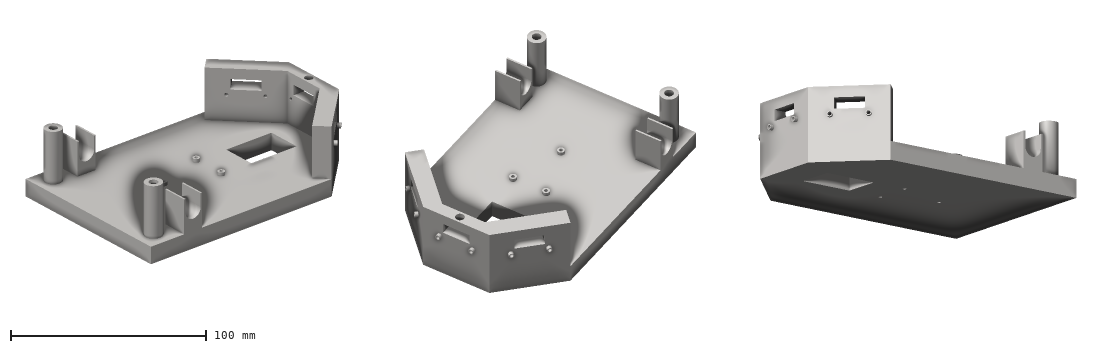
import cadquery as cq
import math

plate_width = 100.0
plate_length = 150.0
plate_thickness = 10.0
corner_cut = 30.0
half_width = plate_width / 2
side_end_y = plate_length - corner_cut
back_half_width = half_width - corner_cut

total_height = 40.0
wall_height = total_height - plate_thickness
slanted_wall_thickness = 10.0
wall_step = slanted_wall_thickness / math.sqrt(2)

window_width = 16.0
window_height = 6.0
window_center_z = 31.0
peg_spacing = 20.0
peg_diameter = 3.0
peg_length = 2.0
peg_hole_diameter = 2.0
peg_z = 25.0
cut_depth = 2 * slanted_wall_thickness

top_hole_diameter = 5.0
top_hole_depth = 5.0
top_hole_y = plate_length - wall_step / 2

opening_width = 20.0
opening_length = 30.0
opening_center_y = 115.0

standoff_diameter = 4.0
standoff_height = 2.0
standoff_hole_diameter = 2.0
standoff_points = [(-10.0, 80.0), (10.0, 80.0), (0.0, 50.0)]

cradle_length = 15.0
cradle_bore = 10.0
cradle_lip = 1.0
cradle_width = cradle_bore + 2 * cradle_lip
cradle_center_y = 28.0
cradle_top_z = 30.0
cradle_axis_z = 22.0

post_diameter = 10.0
post_hole_diameter = 5.0
post_inset = 10.0
post_x = half_width - post_inset


def make_plate():
    outline = [
        (-half_width, 0),
        (half_width, 0),
        (half_width, side_end_y),
        (back_half_width, plate_length),
        (-back_half_width, plate_length),
        (-half_width, side_end_y),
    ]
    plate = cq.Workplane("XY").polyline(outline).close().extrude(plate_thickness)
    opening = (
        cq.Workplane("XY")
        .center(0, opening_center_y)
        .rect(opening_width, opening_length)
        .extrude(plate_thickness)
    )
    return plate.cut(opening)


def make_wall():
    outer = [
        (-half_width, side_end_y),
        (-back_half_width, plate_length),
        (back_half_width, plate_length),
        (half_width, side_end_y),
    ]
    inner = [
        (half_width - wall_step, side_end_y - wall_step),
        (back_half_width - wall_step, plate_length - wall_step),
        (wall_step - back_half_width, plate_length - wall_step),
        (wall_step - half_width, side_end_y - wall_step),
    ]
    wall = (
        cq.Workplane("XY", origin=(0, 0, plate_thickness))
        .polyline(outer + inner)
        .close()
        .extrude(wall_height)
    )
    top_hole = (
        cq.Workplane("XY", origin=(0, top_hole_y, total_height))
        .circle(top_hole_diameter / 2)
        .extrude(-top_hole_depth)
    )
    return wall.cut(top_hole)


def add_sensor_mount(body, face_x, face_y, normal_x, normal_y):
    """Add two pegs to an outer wall face and cut its window and peg holes."""
    face = cq.Plane(
        origin=(face_x, face_y, 0),
        xDir=(-normal_y, normal_x, 0),
        normal=(normal_x, normal_y, 0),
    )
    peg_points = [(-peg_spacing / 2, peg_z), (peg_spacing / 2, peg_z)]
    pegs = cq.Workplane(face).pushPoints(peg_points).circle(peg_diameter / 2).extrude(peg_length)
    holes = (
        cq.Workplane(face)
        .workplane(offset=peg_length)
        .pushPoints(peg_points)
        .circle(peg_hole_diameter / 2)
        .extrude(-cut_depth)
    )
    window = (
        cq.Workplane(face)
        .center(0, window_center_z)
        .rect(window_width, window_height)
        .extrude(-cut_depth)
    )
    return body.union(pegs).cut(holes).cut(window)


def add_standoffs(body):
    standoffs = (
        cq.Workplane("XY", origin=(0, 0, plate_thickness))
        .pushPoints(standoff_points)
        .circle(standoff_diameter / 2)
        .extrude(standoff_height)
    )
    holes = (
        cq.Workplane("XY")
        .pushPoints(standoff_points)
        .circle(standoff_hole_diameter / 2)
        .extrude(plate_thickness + standoff_height)
    )
    return body.union(standoffs).cut(holes)


def make_cradle(start_x):
    """Build a cradle running in +X from start_x, with a round-bottomed slot."""
    bore_radius = cradle_bore / 2
    half_cradle = cradle_width / 2
    return (
        cq.Workplane("YZ", origin=(start_x, cradle_center_y, 0))
        .moveTo(-half_cradle, plate_thickness)
        .lineTo(half_cradle, plate_thickness)
        .lineTo(half_cradle, cradle_top_z)
        .lineTo(bore_radius, cradle_top_z)
        .lineTo(bore_radius, cradle_axis_z)
        .threePointArc((0, cradle_axis_z - bore_radius), (-bore_radius, cradle_axis_z))
        .lineTo(-bore_radius, cradle_top_z)
        .lineTo(-half_cradle, cradle_top_z)
        .close()
        .extrude(cradle_length)
    )


def make_posts():
    return (
        cq.Workplane("XY", origin=(0, 0, plate_thickness))
        .pushPoints([(-post_x, post_inset), (post_x, post_inset)])
        .circle(post_diameter / 2)
        .circle(post_hole_diameter / 2)
        .extrude(wall_height)
    )


result = make_plate().union(make_wall())

slanted_center_x = (half_width + back_half_width) / 2
slanted_center_y = (side_end_y + plate_length) / 2
result = add_sensor_mount(result, 0, plate_length, 0, 1)
for side in (-1, 1):
    result = add_sensor_mount(result, side * slanted_center_x, slanted_center_y, side, 1)

result = add_standoffs(result)
for cradle_start_x in (-half_width, half_width - cradle_length):
    result = result.union(make_cradle(cradle_start_x))
result = result.union(make_posts())